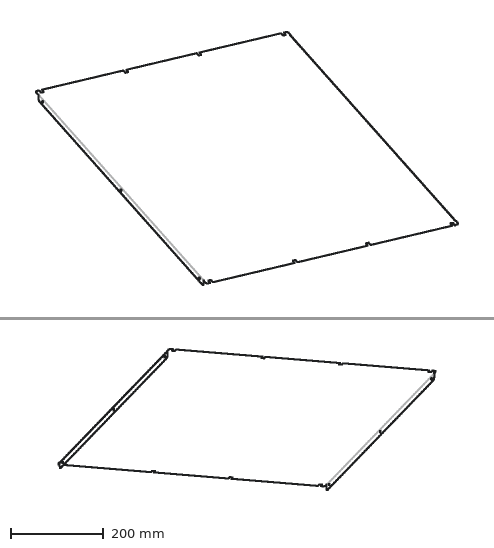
import cadquery as cq

length = 886.5
width = 599.0
height = 15.0
thickness = 1.15
bend_radius = 1.3
corner_radius = 5.0

flange_inset = 15.0
flange_corner_radius = 7.0
flange_length = length - 2 * flange_inset
hole_diameter = 4.2
hole_spacing = 406.0
hole_drop = 7.0

slot_depth = 11.0
slot_width = 6.65
outer_slot_y = 287.0
inner_slot_y = 87.0


def make_channel():
    """Top sheet with both long edges folded down."""
    outer = (
        cq.Workplane("XY")
        .box(flange_length, width, height, centered=(True, True, False))
        .edges("|X and >Z")
        .fillet(bend_radius)
    )
    inner = (
        cq.Workplane("XY")
        .box(flange_length, width - 2 * thickness, height - thickness, centered=(True, True, False))
        .edges("|X and >Z")
        .fillet(bend_radius - thickness)
    )
    return outer.cut(inner).edges("|Y and <Z").fillet(flange_corner_radius)


def make_end_strips():
    """Flat strips that extend the top sheet past the ends of the flanges."""
    sheet = (
        cq.Workplane("XY", origin=(0, 0, height - thickness))
        .rect(length, width)
        .extrude(thickness)
        .edges("|Z")
        .fillet(corner_radius)
    )
    middle = cq.Workplane("XY").box(flange_length, width, 2 * height)
    return sheet.cut(middle)


def make_slots():
    """Cutters for the slots open to the short edges."""
    centers = []
    for x in (-length / 2, length / 2):
        for y in (-outer_slot_y, -inner_slot_y, inner_slot_y, outer_slot_y):
            centers.append((x, y))
    return cq.Workplane("XY").pushPoints(centers).rect(2 * slot_depth, slot_width).extrude(height)


def make_flange_holes():
    """Cutters for the round holes through both flanges."""
    centers = [(x, height - hole_drop) for x in (-hole_spacing, 0, hole_spacing)]
    return cq.Workplane("XZ").pushPoints(centers).circle(hole_diameter / 2).extrude(width, both=True)


result = make_channel().union(make_end_strips())
result = result.cut(make_slots()).cut(make_flange_holes())